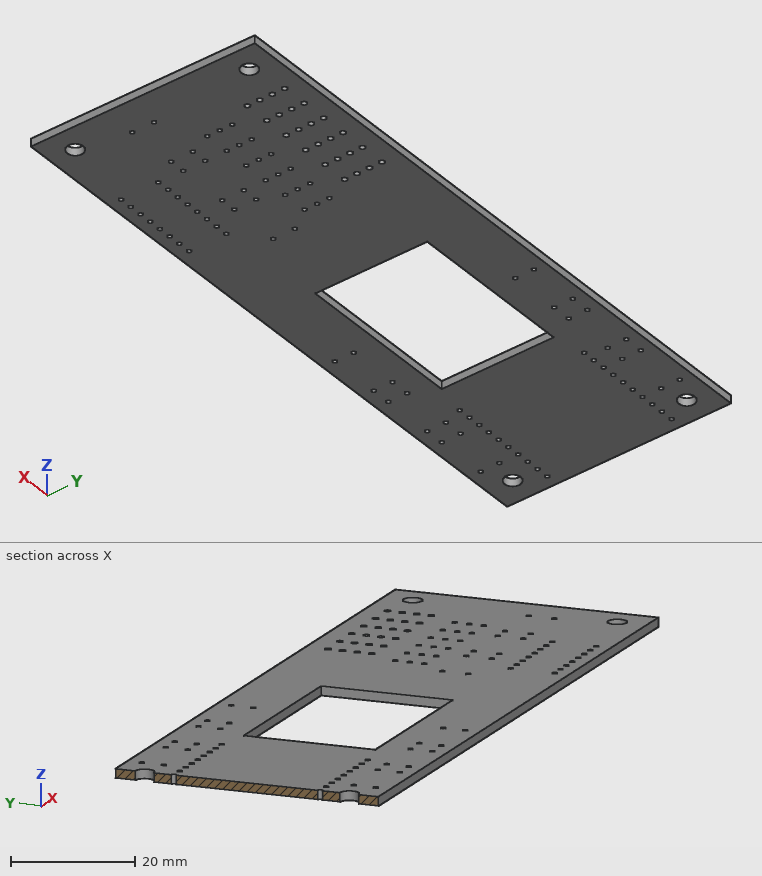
import cadquery as cq

PITCH = 2.54

BOARD_LENGTH = 49 * PITCH
BOARD_WIDTH = 18 * PITCH
BOARD_THICKNESS = 1.6

MOUNT_DIAMETER = 3.2
MOUNT_INSET = 2 * PITCH

WINDOW_LENGTH = 13 * PITCH
WINDOW_WIDTH = 9 * PITCH
WINDOW_CENTER_X = 19 * PITCH

PIN_DIAMETER = 0.8
TERMINAL_DIAMETER = 1.0

HEADER_START_X = PITCH
HEADER_PINS = 10
HEADER_EDGE_OFFSET = 4 * PITCH

LEAD_SPAN = 4 * PITCH
RESISTOR_START_X = 4 * PITCH
RESISTOR_STEP = 5.5 * PITCH
RESISTOR_COUNT = 3
RESISTOR_EDGE_OFFSETS = (PITCH, 2.5 * PITCH)

BUTTON_START_X = 31.75 * PITCH
BUTTON_STEP = 5.25 * PITCH
BUTTON_COUNT = 3
BUTTON_LOWER_Y = 6 * PITCH
BUTTON_ROW_SPACING = 1.75 * PITCH

CHIP_START_X = 34 * PITCH
CHIP_PINS_PER_ROW = 8
CHIP_LOWER_Y = PITCH
CHIP_ROW_SPACING = 3 * PITCH

GRID_COLUMN_STEP = 2 * PITCH
GRID_COLUMNS = 6
TRANSISTOR_START_X = 33 * PITCH
TRANSISTOR_LOWER_Y = 9.5 * PITCH
TRANSISTOR_ROWS = 3
TERMINAL_START_X = 34 * PITCH
TERMINAL_LOWER_Y = 13.5 * PITCH
TERMINAL_ROWS = 4


def series(start, step, count):
    """Evenly spaced coordinates."""
    return [start + step * index for index in range(count)]


def grid(x_values, y_values):
    """Every combination of the given X and Y coordinates."""
    return [(x, y) for x in x_values for y in y_values]


def lead_positions(start, step, count):
    """X coordinates of both leads of a row of two-lead components."""
    return [x + lead for x in series(start, step, count) for lead in (0, LEAD_SPAN)]


def both_edges(offset):
    """Y coordinates at the same distance from the lower and upper edges."""
    return [offset, BOARD_WIDTH - offset]


def header_points():
    return grid(series(HEADER_START_X, PITCH, HEADER_PINS), both_edges(HEADER_EDGE_OFFSET))


def resistor_points():
    rows = [y for offset in RESISTOR_EDGE_OFFSETS for y in both_edges(offset)]
    return grid(lead_positions(RESISTOR_START_X, RESISTOR_STEP, RESISTOR_COUNT), rows)


def button_points():
    columns = lead_positions(BUTTON_START_X, BUTTON_STEP, BUTTON_COUNT)
    return grid(columns, series(BUTTON_LOWER_Y, BUTTON_ROW_SPACING, 2))


def chip_points():
    columns = series(CHIP_START_X, PITCH, CHIP_PINS_PER_ROW)
    return grid(columns, series(CHIP_LOWER_Y, CHIP_ROW_SPACING, 2))


def transistor_points():
    columns = series(TRANSISTOR_START_X, GRID_COLUMN_STEP, GRID_COLUMNS)
    return grid(columns, series(TRANSISTOR_LOWER_Y, PITCH, TRANSISTOR_ROWS))


def terminal_points():
    columns = series(TERMINAL_START_X, GRID_COLUMN_STEP, GRID_COLUMNS)
    return grid(columns, series(TERMINAL_LOWER_Y, PITCH, TERMINAL_ROWS))


def mount_points():
    return grid([MOUNT_INSET, BOARD_LENGTH - MOUNT_INSET], both_edges(MOUNT_INSET))


def cylinders(points, diameter):
    """Full-thickness cutters for round holes."""
    return cq.Workplane("XY").pushPoints(points).circle(diameter / 2).extrude(BOARD_THICKNESS)


def make_blank():
    return cq.Workplane("XY").box(BOARD_LENGTH, BOARD_WIDTH, BOARD_THICKNESS, centered=False)


def make_window():
    return (
        cq.Workplane("XY")
        .center(WINDOW_CENTER_X, BOARD_WIDTH / 2)
        .rect(WINDOW_LENGTH, WINDOW_WIDTH)
        .extrude(BOARD_THICKNESS)
    )


pin_points = (
    header_points() + resistor_points() + button_points() + chip_points() + transistor_points()
)

board = make_blank().cut(make_window())
board = board.cut(cylinders(mount_points(), MOUNT_DIAMETER))
board = board.cut(cylinders(terminal_points(), TERMINAL_DIAMETER))
board = board.cut(cylinders(pin_points, PIN_DIAMETER))

result = board